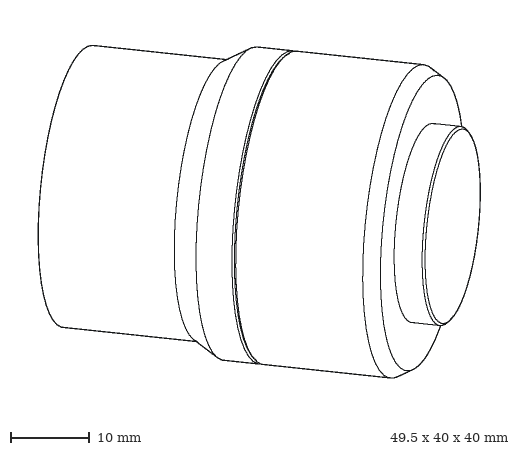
import cadquery as cq
import math


overall_length = 49.5
shank_length = 18.0
collar_to_groove_bottom = 5.0
boss_length = 4.0
end_bevel_length = 2.0

shank_radius = 36.0 / 2
body_radius = 40.0 / 2
boss_radius = 25.4 / 2

taper_angle = 30.0
end_bevel_angle = 30.0
groove_width = 0.5
groove_depth = groove_width / 2
boss_chamfer = 0.3

taper_length = (body_radius - shank_radius) / math.tan(math.radians(taper_angle))
collar_start = shank_length + taper_length
groove_center = collar_start + collar_to_groove_bottom
body_end = overall_length - boss_length
bevel_start = body_end - end_bevel_length
bevel_drop = end_bevel_length * math.tan(math.radians(end_bevel_angle))


def revolve_about_axis(points):
    """Solid of revolution of an (axial position, radius) outline about the X axis."""
    return cq.Workplane("XZ").polyline(points).close().revolve(360, (0, 0, 0), (1, 0, 0))


def make_body():
    """Shank, conical shoulder, body with bevelled end, and chamfered end boss."""
    return revolve_about_axis([
        (0, 0),
        (0, shank_radius),
        (shank_length, shank_radius),
        (collar_start, body_radius),
        (bevel_start, body_radius),
        (body_end, body_radius - bevel_drop),
        (body_end, boss_radius),
        (overall_length - boss_chamfer, boss_radius),
        (overall_length, boss_radius - boss_chamfer),
        (overall_length, 0),
    ])


def make_groove():
    """Ring removed by the narrow 90 degree V-groove around the body."""
    return revolve_about_axis([
        (groove_center - groove_width / 2, body_radius),
        (groove_center, body_radius - groove_depth),
        (groove_center + groove_width / 2, body_radius),
    ])


result = make_body().cut(make_groove())